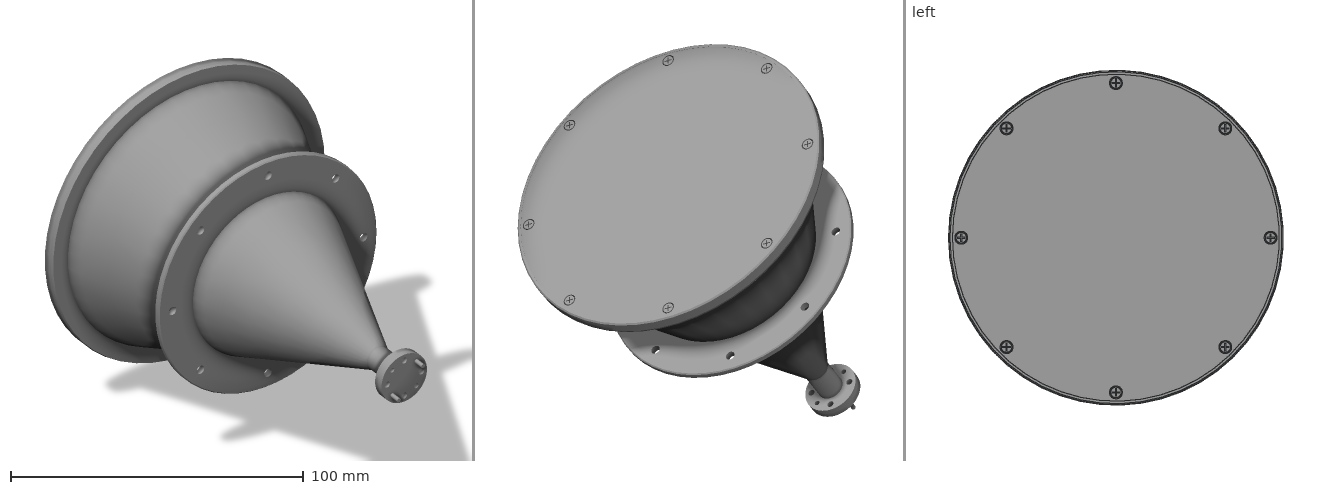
import math

import cadquery as cq

overall_length = 135.95

mouth_diameter = 114.3
mouth_thickness = 5.08
mouth_front_chamfer = 0.5
mouth_back_chamfer_length = 0.9
mouth_back_chamfer_height = 0.3

seat_radius = 55.8
seat_depth = 0.1

screw_count = 8
screw_circle_radius = 52.8
screw_pocket_diameter = 4.4
screw_head_diameter = 3.6
screw_pocket_depth = 1.5
recess_length = 2.6
recess_width = 0.4
recess_depth = 1.0

cone_mouth_radius = 50.7
neck_radius = 4.57
neck_start = 116.6

ring_diameter = 91.44
ring_thickness = 2.54
ring_start = 49.1
ring_edge_chamfer = 0.4
ring_hole_count = 8
ring_hole_circle_radius = 40.0
ring_hole_diameter = 3.2

flange_diameter = 19.05
flange_thickness = 3.8
pin_length = 4.0
pin_diameter = 1.56
flange_circle_diameter = 14.29
flange_screw_hole_diameter = 2.3
flange_screw_hole_count = 4
pin_hole_diameter = 1.8
pin_count = 2
pin_first_angle = 45
pin_hole_first_angle = pin_first_angle + 90

flange_end = overall_length - pin_length
flange_start = flange_end - flange_thickness
flange_circle_radius = flange_circle_diameter / 2

overlap = 0.5


def disc(start, radius, length):
    """Cylinder along X beginning at the given X position."""
    return cq.Workplane("YZ", origin=(start, 0, 0)).circle(radius).extrude(length)


def circle_of_points(radius, count, first_angle=0.0):
    """Evenly spaced (Y, Z) points on a circle, angles in degrees from +Y."""
    angles = [math.radians(first_angle + 360 / count * i) for i in range(count)]
    return [(radius * math.cos(a), radius * math.sin(a)) for a in angles]


def pegs(start, points, diameter, length):
    """Equal cylinders along X at the given (Y, Z) points."""
    plane = cq.Workplane("YZ", origin=(start, 0, 0))
    return plane.pushPoints(points).circle(diameter / 2).extrude(length)


def horn_body():
    """Mouth flange, cone and neck as one revolved profile."""
    mouth_radius = mouth_diameter / 2
    profile = [
        (seat_depth, 0),
        (seat_depth, seat_radius),
        (0, seat_radius),
        (0, mouth_radius - mouth_front_chamfer),
        (mouth_front_chamfer, mouth_radius),
        (mouth_thickness - mouth_back_chamfer_length, mouth_radius),
        (mouth_thickness, mouth_radius - mouth_back_chamfer_height),
        (mouth_thickness, cone_mouth_radius),
        (neck_start, neck_radius),
        (flange_start + overlap, neck_radius),
        (flange_start + overlap, 0),
    ]
    return cq.Workplane("XY").polyline(profile).close().revolve(360, (0, 0, 0), (1, 0, 0))


def screw_pockets():
    """Gaps around the flush screw heads together with their cross recesses."""
    points = circle_of_points(screw_circle_radius, screw_count)
    front = cq.Workplane("YZ").pushPoints(points)
    gaps = front.circle(screw_pocket_diameter / 2).circle(screw_head_diameter / 2).extrude(screw_pocket_depth)
    upright = front.rect(recess_width, recess_length).extrude(recess_depth)
    level = front.rect(recess_length, recess_width).extrude(recess_depth)
    return gaps.union(upright).union(level)


def mounting_ring():
    """Ring around the cone, edges broken, with a circle of through holes."""
    ring = disc(ring_start, ring_diameter / 2, ring_thickness).edges().chamfer(ring_edge_chamfer)
    points = circle_of_points(ring_hole_circle_radius, ring_hole_count)
    return ring.cut(pegs(ring_start, points, ring_hole_diameter, ring_thickness))


def waveguide_flange():
    """Round flange with screw holes, two pin holes and two alignment pins."""
    flange = disc(flange_start, flange_diameter / 2, flange_thickness)
    screw_points = circle_of_points(flange_circle_radius, flange_screw_hole_count)
    pin_hole_points = circle_of_points(flange_circle_radius, pin_count, pin_hole_first_angle)
    pin_points = circle_of_points(flange_circle_radius, pin_count, pin_first_angle)
    flange = flange.cut(pegs(flange_start, screw_points, flange_screw_hole_diameter, flange_thickness))
    flange = flange.cut(pegs(flange_start, pin_hole_points, pin_hole_diameter, flange_thickness))
    return flange.union(pegs(flange_end - overlap, pin_points, pin_diameter, pin_length + overlap))


result = horn_body().cut(screw_pockets()).union(mounting_ring()).union(waveguide_flange())